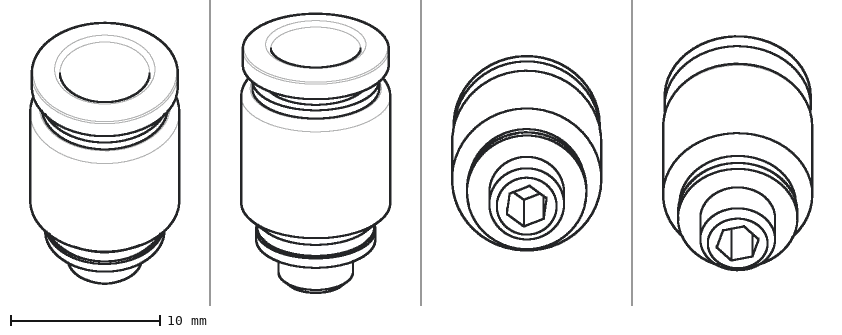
import cadquery as cq
import math

tip_d = 5.0
flange_d = 8.0
neck_d = 7.8
body_d = 10.0
step_d = 8.5
collar_d = 6.95
rim_d = 9.8
bore_d = 6.0

total_height = 17.82
flange_bottom = 3.0
flange_top = 3.7
neck_top = 4.69
body_top = 14.49
step_top = 15.11
rim_bottom = 16.3
bore_floor = 5.77

tip_chamfer = 0.5
neck_chamfer = 0.15
body_round = 0.6
lip_round = 0.3
rim_round = 0.1
rim_slope = math.radians(10)

hex_across_flats = 2.5


def disc(diameter, bottom, top):
    """Solid cylinder on the Z axis between two heights."""
    return cq.Workplane("XY").workplane(offset=bottom).circle(diameter / 2).extrude(top - bottom)


def make_body():
    """Threaded tip, seal flange and main barrel."""
    tip = disc(tip_d, 0, flange_bottom).faces("<Z").chamfer(tip_chamfer)
    flange = disc(flange_d, flange_bottom, flange_top)
    neck = disc(neck_d, flange_top, neck_top).faces("<Z").chamfer(neck_chamfer)
    shoulder = (body_d - neck_d) / 2
    barrel = disc(body_d, neck_top, body_top).faces("<Z").chamfer(shoulder)
    barrel = barrel.faces(">Z").edges().fillet(body_round)
    step = disc(step_d, body_top, step_top)
    return tip.union(flange).union(neck).union(barrel).union(step)


def make_release_sleeve():
    """Collar and sloping rim, with a rounded lip at the bore."""
    collar = disc(collar_d, step_top, rim_bottom)

    def round_point(center, radius, angle):
        return (center[0] + radius * math.cos(angle), center[1] + radius * math.sin(angle))

    normal = math.pi / 2 - rim_slope
    lip_center = (bore_d / 2 + lip_round, total_height - lip_round)
    lip_end = round_point(lip_center, lip_round, normal)
    lip_middle = round_point(lip_center, lip_round, (math.pi + normal) / 2)
    rim_center_x = rim_d / 2 - rim_round
    cone_end_x = rim_center_x + rim_round * math.cos(normal)
    cone_end_z = lip_end[1] - (cone_end_x - lip_end[0]) * math.tan(rim_slope)
    rim_center = (rim_center_x, cone_end_z - rim_round * math.sin(normal))
    rim_middle = round_point(rim_center, rim_round, normal / 2)

    rim = (
        cq.Workplane("XZ")
        .moveTo(0, rim_bottom)
        .lineTo(rim_d / 2, rim_bottom)
        .lineTo(rim_d / 2, rim_center[1])
        .threePointArc(rim_middle, (cone_end_x, cone_end_z))
        .lineTo(*lip_end)
        .threePointArc(lip_middle, (bore_d / 2, lip_center[1]))
        .lineTo(0, lip_center[1])
        .close()
        .revolve(360, (0, 0, 0), (0, 1, 0))
    )
    return collar.union(rim)


bore = disc(bore_d, bore_floor, total_height)
hex_corner_d = hex_across_flats / math.cos(math.pi / 6)
key_hole = (
    cq.Workplane("XY")
    .transformed(rotate=(0, 0, 90))
    .polygon(6, hex_corner_d)
    .extrude(total_height)
)

result = make_body().union(make_release_sleeve()).cut(bore).cut(key_hole)